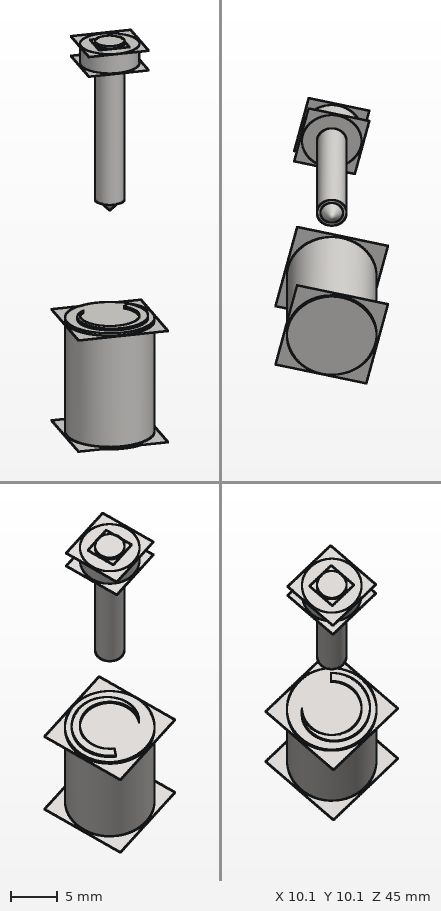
import cadquery as cq
import math

total_height = 45.05
sheet_thickness = 0.05

barrel_radius = 4.8
barrel_height = 13.35
barrel_sheet_side = 10.05
barrel_sheet_inset = 0.25

ridge_height = 0.23
ridge_inner_radius = 3.2
ridge_outer_radius = 4.15
ridge_start_angle = 135.0
ridge_sweep = 270.0
spiral_steps = 24
spiral_power = 3

pin_radius = 1.6
pin_point_z = 25.6
pin_end_z = 26.85
point_radius = 1.2
flange_side = 3.4

collar_radius = 3.2
collar_sheet_side = 6.7
collar_bottom_z = 42.5
collar_top_z = 44.8


def square_sheet(side, bottom_z):
    return cq.Workplane("XY").workplane(offset=bottom_z).rect(side, side).extrude(sheet_thickness)


def cylinder(radius, bottom_z, top_z):
    return cq.Workplane("XY").workplane(offset=bottom_z).circle(radius).extrude(top_z - bottom_z)


def polar_point(radius, angle):
    return (radius * math.cos(math.radians(angle)), radius * math.sin(math.radians(angle)))


def make_ridge():
    """Crescent whose outer edge spirals clockwise in to its circular inner edge."""
    def spiral_point(fraction):
        radius = ridge_outer_radius + (ridge_inner_radius - ridge_outer_radius) * fraction**spiral_power
        return polar_point(radius, ridge_start_angle - ridge_sweep * fraction)

    spiral_points = [spiral_point(step / spiral_steps) for step in range(1, spiral_steps + 1)]
    inner_start = polar_point(ridge_inner_radius, ridge_start_angle)
    inner_middle = polar_point(ridge_inner_radius, ridge_start_angle - ridge_sweep / 2)
    return (
        cq.Workplane("XY")
        .workplane(offset=barrel_height)
        .moveTo(*inner_start)
        .lineTo(*spiral_point(0))
        .spline(spiral_points, includeCurrent=True)
        .threePointArc(inner_middle, inner_start)
        .close()
        .extrude(ridge_height)
    )


def make_barrel():
    body = cylinder(barrel_radius, 0, barrel_height)
    upper_sheet_z = barrel_height - barrel_sheet_inset - sheet_thickness
    for sheet_z in (barrel_sheet_inset, upper_sheet_z):
        body = body.union(square_sheet(barrel_sheet_side, sheet_z))
    return body.union(make_ridge())


def make_pin():
    """Round pin with a conical point and a thin square flange near its top."""
    flange = square_sheet(flange_side, collar_top_z - sheet_thickness)
    profile = [
        (0, pin_point_z),
        (point_radius, pin_end_z),
        (pin_radius, pin_end_z),
        (pin_radius, total_height),
        (0, total_height),
    ]
    shank = cq.Workplane("XZ").polyline(profile).close().revolve(360, (0, 0, 0), (0, 1, 0))
    return shank.union(flange)


def make_collar(pin_body):
    """Ring with a square sheet at each face, fitted around the pin and its flange."""
    body = cylinder(collar_radius, collar_bottom_z, collar_top_z)
    for sheet_z in (collar_bottom_z, collar_top_z - sheet_thickness):
        body = body.union(square_sheet(collar_sheet_side, sheet_z))
    return body.cut(pin_body)


barrel = make_barrel()
pin = make_pin()
collar = make_collar(pin)

result = cq.Compound.makeCompound([barrel.val(), pin.val(), collar.val()])